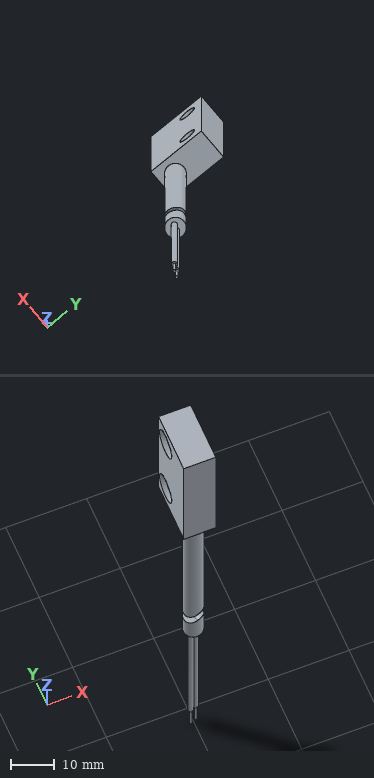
import cadquery as cq

housing_width = 8.0
housing_depth = 15.0
housing_height = 32.0

hole_diameter = 4.2
countersink_diameter = 7.2
countersink_angle = 110.0
hole_count = 2
hole_pitch = 20.0
hole_edge_distance = 4.2

cable_diameter = 5.0
cable_edge_distance = 4.0

break_crest_z = -38.2
break_gap = 2.6
cable_end_z = -49.0
insulation_end_z = -85.0
conductor_end_z = -91.0

break_slope = 0.7
break_steep_slope = 1.1
break_crest_offset = 0.7
break_skew = 18.0
break_crest_radius = 1.9
break_reach = cable_diameter

wire_pitch = 1.5
wire_diameter = 1.45
conductor_diameter = 0.7
wire_row_angle = 20.0

housing_back_y = housing_depth - cable_edge_distance
hole_y = housing_back_y - hole_edge_distance
hole_end_margin = (housing_height - (hole_count - 1) * hole_pitch) / 2


def make_housing():
    """Block with the cable axis on X = Y = 0 and countersunk holes from its -X face."""
    block = cq.Workplane("XY").box(housing_width, housing_depth, housing_height, centered=(True, False, False))
    block = block.translate((0, -cable_edge_distance, 0))
    hole_points = [(-hole_y, hole_end_margin + i * hole_pitch) for i in range(hole_count)]
    countersunk_face = cq.Plane(origin=(-housing_width / 2, 0, 0), xDir=(0, -1, 0), normal=(-1, 0, 0))
    return (
        block.copyWorkplane(cq.Workplane(countersunk_face))
        .pushPoints(hole_points)
        .cskHole(hole_diameter, countersink_diameter, countersink_angle)
    )


def space_below_break(crest_z):
    """Everything under a roof-shaped break surface whose crest is at crest_z."""
    roof = (
        cq.Workplane("XZ")
        .moveTo(break_crest_offset, crest_z)
        .lineTo(break_crest_offset - break_reach, crest_z - break_slope * break_reach)
        .lineTo(break_crest_offset - break_reach, conductor_end_z)
        .lineTo(break_crest_offset + break_reach, conductor_end_z)
        .lineTo(break_crest_offset + break_reach, crest_z - break_steep_slope * break_reach)
        .close()
        .extrude(break_reach, both=True)
        .edges(">Z")
        .fillet(break_crest_radius)
    )
    return roof.rotate((0, 0, 0), (0, 0, 1), break_skew)


def cylinder_down(diameter, top_z, bottom_z):
    return cq.Workplane("XY").workplane(offset=bottom_z).circle(diameter / 2).extrude(top_z - bottom_z)


def make_upper_cable():
    return cylinder_down(cable_diameter, 0, conductor_end_z).cut(space_below_break(break_crest_z))


def make_wire():
    insulation = cylinder_down(wire_diameter, cable_end_z, insulation_end_z)
    conductor = cylinder_down(conductor_diameter, insulation_end_z, conductor_end_z)
    return insulation.union(conductor)


def make_lower_cable():
    """Cable end piece with the two wires coming out of it."""
    lower_cable = cylinder_down(cable_diameter, 0, cable_end_z)
    lower_cable = lower_cable.intersect(space_below_break(break_crest_z - break_gap))
    for side_angle in (0, 180):
        wire = make_wire().translate((wire_pitch / 2, 0, 0))
        wire = wire.rotate((0, 0, 0), (0, 0, 1), wire_row_angle + side_angle)
        lower_cable = lower_cable.union(wire)
    return lower_cable


housing = make_housing()
upper_cable = make_upper_cable()
lower_cable = make_lower_cable()

result = cq.Compound.makeCompound([housing.val(), upper_cable.val(), lower_cable.val()])